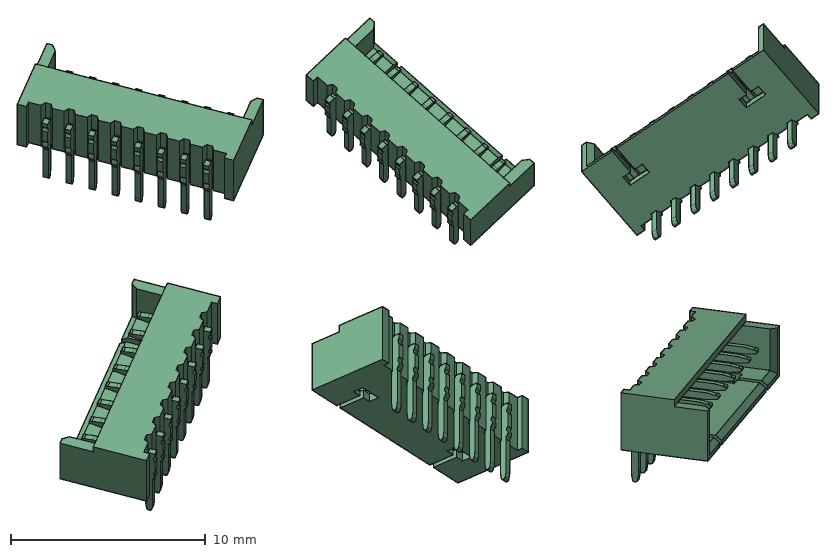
import cadquery as cq


length = 11.75
depth = 4.7
height = 3.2
tail_drop = 2.3
ear_width = 0.5
ear_depth = 0.32
roof_front = 2.89
roof_thickness = 0.39
floor_thickness = 0.49
side_wall = 0.58
cavity_back = 1.5

lead_depth = 0.33
lead_side = 0.26
lead_floor = 0.26

slit_width = 0.28
window_front = 3.15
window_length = 0.6

pin_count = 8
row_length = 8.75
pin_width = 0.3
pin_thickness = 0.38
pin_top = 2.21
tail_setback = 0.13
contact_tip = 4.01
contact_taper = 0.46
contact_tip_length = 0.16
contact_inset = 0.08
tail_taper = 0.28
tail_tip_length = 0.13
tail_inset = 0.05

bend_head = 0.25
mark_round = 0.1
mark_shoulder = 0.05
mark_chord = 0.25
mark_depth = 0.088
middle_height = 0.82
shoulder_bulge = 0.01
lip_start = 0.05
lip_foot = 0.08
lip_rise = 0.1
lip_flat = 0.04
lip_fall = 0.16
lip_bulge = 0.01
foot_height = 0.16
foot_hollow = 0.029

groove_depth = 0.25
groove_flare = 0.15

middle_x = length / 2
pitch = row_length / (pin_count - 1)
first_pin = middle_x - row_length / 2
last_pin = middle_x + row_length / 2
pin_positions = [first_pin + i * pitch for i in range(pin_count)]
terminal_face = ear_depth
groove_floor = terminal_face + groove_depth
side_wall_top = height - roof_thickness


def box(x0, x1, y0, y1, z0, z1):
    """Axis-aligned block between two opposite corners."""
    return cq.Workplane("XY").box(x1 - x0, y1 - y0, z1 - z0, centered=False).translate((x0, y0, z0))


def housing_block():
    profile = [
        (0, 0),
        (depth, 0),
        (depth, side_wall_top),
        (roof_front, side_wall_top),
        (roof_front, height),
        (0, height),
    ]
    block = cq.Workplane("YZ").polyline(profile).close().extrude(length)
    return block.cut(box(ear_width, length - ear_width, 0, terminal_face, 0, height))


def cavity():
    """Mating cavity, under the roof and open above in front of it, with its flared mouth."""
    pocket = box(side_wall, length - side_wall, cavity_back, depth, floor_thickness, side_wall_top)
    mouth_width = length - 2 * side_wall
    mouth_bottom = floor_thickness - lead_floor
    lead_start = depth - lead_depth
    flare = (
        cq.Workplane("XZ", origin=(middle_x, lead_start, 0))
        .polyline([
            (-mouth_width / 2, floor_thickness),
            (mouth_width / 2, floor_thickness),
            (mouth_width / 2, side_wall_top),
            (-mouth_width / 2, side_wall_top),
        ])
        .close()
        .workplane(offset=-lead_depth)
        .polyline([
            (-mouth_width / 2 - lead_side, mouth_bottom),
            (mouth_width / 2 + lead_side, mouth_bottom),
            (mouth_width / 2 + lead_side, side_wall_top),
            (-mouth_width / 2 - lead_side, side_wall_top),
        ])
        .close()
        .loft(ruled=True)
    )
    return pocket.union(flare)


def latch_opening(x):
    """T-shaped opening through the floor: a slit from the mouth ending in a wider window."""
    slit = box(x - slit_width / 2, x + slit_width / 2, window_front, depth, 0, floor_thickness)
    window = box(x - pitch / 2, x + pitch / 2, window_front - window_length, window_front, 0, floor_thickness)
    return slit.union(window)


def relief_groove(x):
    half_floor = pin_width / 2
    half_mouth = half_floor + groove_flare
    return (
        cq.Workplane("XY")
        .polyline([
            (x - half_mouth, terminal_face),
            (x - half_floor, groove_floor),
            (x + half_floor, groove_floor),
            (x + half_mouth, terminal_face),
        ])
        .close()
        .extrude(height)
    )


def pin(x):
    """Bent pin, drawn as a side profile in Y and Z and extruded across its width."""
    half = pin_thickness / 2
    tail_y = tail_setback + half
    tail_back = tail_setback + pin_thickness
    bar_top = pin_top - tail_setback
    bar_z = bar_top - half
    bar_bottom = bar_top - pin_thickness

    upper_mark = pin_top - bend_head - mark_round
    middle_top = upper_mark - mark_chord
    middle_bottom = middle_top - middle_height
    lip_top = middle_bottom - mark_chord
    crest_top = lip_top - lip_rise
    crest_bottom = crest_top - lip_flat
    foot_top = crest_bottom - lip_fall
    tail_top = foot_top - foot_height

    tail_end = -tail_drop
    tail_round = tail_end + tail_tip_length
    tail_taper_top = tail_round + tail_taper
    contact_round = contact_tip - contact_tip_length
    contact_taper_start = contact_round - contact_taper
    top_mark_end = pin_thickness + mark_chord
    contact_half = half - contact_inset
    tail_half = half - tail_inset

    profile = (
        cq.Workplane("YZ")
        .moveTo(0, pin_top)
        .lineTo(0, pin_top - bend_head)
        .sagittaArc((mark_shoulder, upper_mark), -shoulder_bulge)
        .threePointArc((mark_depth, upper_mark - mark_chord / 2), (0, middle_top))
        .lineTo(0, middle_bottom)
        .threePointArc((mark_depth, middle_bottom - mark_chord / 2), (lip_start, lip_top))
        .sagittaArc((0, crest_top), -lip_bulge)
        .lineTo(0, crest_bottom)
        .sagittaArc((lip_foot, foot_top), -lip_bulge)
        .sagittaArc((tail_setback, tail_top), foot_hollow)
        .lineTo(tail_setback, tail_taper_top)
        .lineTo(tail_y - tail_half, tail_round)
        .threePointArc((tail_y, tail_end), (tail_y + tail_half, tail_round))
        .lineTo(tail_back, tail_taper_top)
        .lineTo(tail_back, bar_bottom)
        .lineTo(contact_taper_start, bar_bottom)
        .lineTo(contact_round, bar_z - contact_half)
        .threePointArc((contact_tip, bar_z), (contact_round, bar_z + contact_half))
        .lineTo(contact_taper_start, bar_top)
        .lineTo(top_mark_end, bar_top)
        .threePointArc((pin_thickness + mark_chord / 2, bar_top), (pin_thickness, pin_top))
        .close()
    )
    return profile.extrude(pin_width).translate((x - pin_width / 2, 0, 0))


result = housing_block().cut(cavity())
for x in (first_pin + pitch / 2, last_pin - pitch / 2):
    result = result.cut(latch_opening(x))
for x in pin_positions:
    result = result.cut(relief_groove(x)).union(pin(x))